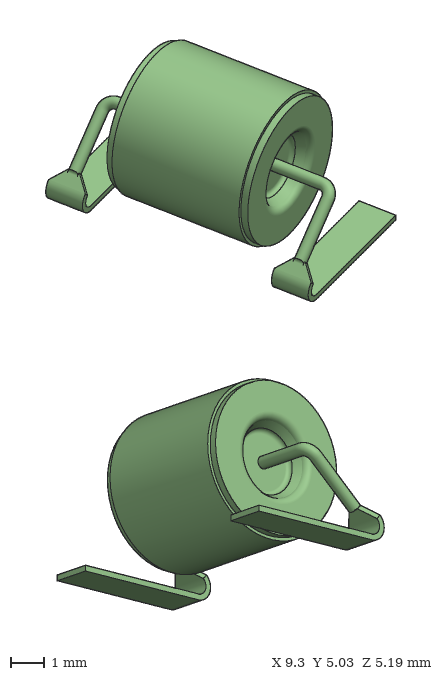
import cadquery as cq
import math

overall_length = 9.3

drum_diameter = 5.0
drum_radius = drum_diameter / 2
end_diameter = 4.8
drum_length = 4.985
drum_half_length = drum_length / 2
end_step_length = 0.24

recess_mouth_radius = 1.43
recess_lip_inner_radius = 1.2
recess_lip_depth = 0.19
recess_wall_bottom_radius = 1.03
recess_floor_radius = 0.89
recess_wall_depth = 0.465
recess_depth = 0.6

wire_diameter = 0.4
wire_radius = wire_diameter / 2
wire_bend_radius = 0.37
wire_leg_length = 2.4
leg_slope = 41.0
slope_cos = math.cos(math.radians(leg_slope))
slope_sin = math.sin(math.radians(leg_slope))

foot_width = 1.3
foot_thickness = 0.19
foot_end_y = 2.53
foot_outer_radius = 0.48
foot_inner_radius = foot_outer_radius - foot_thickness
foot_middle_radius = foot_outer_radius - foot_thickness / 2
foot_top_z = -drum_radius
foot_bottom_z = foot_top_z - foot_thickness
joint_fillet_radius = wire_radius - foot_thickness / 2
lead_x = (overall_length - foot_width) / 2

curl_z = foot_bottom_z + foot_outer_radius
curl_y = (curl_z * slope_cos + foot_middle_radius) / slope_sin
curl_end_distance = -curl_y * slope_cos - curl_z * slope_sin

slope_plane = cq.Plane(origin=(0, 0, 0), xDir=(1, 0, 0), normal=(0, -slope_sin, slope_cos))


def on_slope(distance, offset):
    """(y, z) at a distance down the leg axis, offset upwards at right angles to it."""
    return (
        -distance * slope_cos - offset * slope_sin,
        -distance * slope_sin + offset * slope_cos,
    )


def on_curl(radius, angle):
    """(y, z) on the foot curl, with the angle measured from +Y towards +Z."""
    turn = math.radians(angle)
    return curl_y + radius * math.cos(turn), curl_z + radius * math.sin(turn)


def tangent_arc_radius(width, depth):
    """Radius of an arc that leaves a flat face tangentially and spans a width and a depth."""
    return (width**2 + depth**2) / (2 * depth)


def make_recess():
    """Cutter for the recess in the +X end: rounded lip, sloping wall and rounded floor edge."""
    floor_x = drum_half_length - recess_depth
    lip_radius = tangent_arc_radius(recess_mouth_radius - recess_lip_inner_radius, recess_lip_depth)
    floor_edge_radius = tangent_arc_radius(
        recess_wall_bottom_radius - recess_floor_radius,
        recess_depth - recess_wall_depth,
    )
    profile = (
        cq.Workplane("XY")
        .moveTo(floor_x, 0)
        .lineTo(drum_half_length, 0)
        .lineTo(drum_half_length, recess_mouth_radius)
        .radiusArc((drum_half_length - recess_lip_depth, recess_lip_inner_radius), lip_radius)
        .lineTo(drum_half_length - recess_wall_depth, recess_wall_bottom_radius)
        .radiusArc((floor_x, recess_floor_radius), -floor_edge_radius)
        .close()
    )
    return profile.revolve(360, (0, 0, 0), (1, 0, 0))


def make_drum():
    """Cylinder with a slightly smaller step and a recess at each end."""
    middle_length = drum_length - 2 * end_step_length
    core = cq.Workplane("YZ", origin=(-drum_half_length, 0, 0)).circle(end_diameter / 2).extrude(drum_length)
    middle = cq.Workplane("YZ", origin=(-middle_length / 2, 0, 0)).circle(drum_radius).extrude(middle_length)
    recess = make_recess()
    return core.union(middle).cut(recess).cut(recess.mirror("YZ"))


def make_wire():
    """Wire from the recess floor along X, then bent to slope down towards -Y."""
    recess_floor_x = drum_half_length - recess_depth
    path = (
        cq.Workplane(slope_plane)
        .moveTo(recess_floor_x, 0)
        .lineTo(lead_x - wire_bend_radius, 0)
        .tangentArcPoint((lead_x, -wire_bend_radius), relative=False)
        .lineTo(lead_x, -wire_leg_length)
    )
    return cq.Workplane("YZ", origin=(recess_floor_x, 0, 0)).circle(wire_radius).sweep(path)


def make_foot():
    """Flat strip whose -Y end curls up and tapers to meet the wire leg."""
    half_thickness = foot_thickness / 2
    curl_end_angle = 90 + leg_slope
    curl_middle_angle = (curl_end_angle + 270) / 2
    profile = (
        cq.Workplane("YZ", origin=(lead_x, 0, 0))
        .moveTo(foot_end_y, foot_bottom_z)
        .lineTo(curl_y, foot_bottom_z)
        .threePointArc(
            on_curl(foot_outer_radius, curl_middle_angle),
            on_slope(curl_end_distance, half_thickness),
        )
        .lineTo(*on_slope(wire_leg_length, half_thickness))
        .lineTo(*on_slope(wire_leg_length, -half_thickness))
        .lineTo(*on_slope(curl_end_distance, -half_thickness))
        .threePointArc(on_curl(foot_inner_radius, curl_middle_angle), (curl_y, foot_top_z))
        .lineTo(foot_end_y, foot_top_z)
        .close()
    )
    return profile.extrude(foot_width / 2, both=True)


def make_taper_cutter():
    """Removes both corners of the sloping foot end, leaving it as wide as the wire at the leg."""
    corner = (
        cq.Workplane(slope_plane)
        .moveTo(lead_x + foot_width / 2, -curl_end_distance)
        .lineTo(lead_x + foot_width / 2, -wire_leg_length)
        .lineTo(lead_x + wire_radius, -wire_leg_length)
        .close()
        .extrude(foot_thickness, both=True)
    )
    return corner.union(corner.mirror("YZ", (lead_x, 0, 0)))


def make_joint_fillet():
    """Concave fillet between the end of the wire and the top of the foot, as wide as the wire."""
    foot_surface = foot_thickness / 2
    arc_middle_inset = joint_fillet_radius * (1 - math.sin(math.radians(45)))
    arc_middle = on_slope(wire_leg_length + arc_middle_inset, foot_surface + arc_middle_inset)
    fillet = (
        cq.Workplane("YZ", origin=(lead_x, 0, 0))
        .moveTo(*on_slope(wire_leg_length, foot_surface))
        .lineTo(*on_slope(wire_leg_length, wire_radius))
        .threePointArc(
            arc_middle,
            on_slope(wire_leg_length + joint_fillet_radius, foot_surface),
        )
        .close()
        .extrude(wire_radius, both=True)
    )
    wire_extension = (
        cq.Workplane(slope_plane)
        .transformed(rotate=(90, 0, 0), offset=(lead_x, -wire_leg_length, 0))
        .circle(wire_radius)
        .extrude(joint_fillet_radius)
    )
    return fillet.intersect(wire_extension)


def make_lead():
    """Lead at the +X end: wire, tapered foot and the fillet between them as one solid."""
    tapered_foot = make_foot().cut(make_taper_cutter())
    return tapered_foot.union(make_wire()).union(make_joint_fillet())


drum = make_drum()
right_lead = make_lead()
leads = [right_lead, right_lead.mirror("YZ")]

result = cq.Compound.makeCompound([drum.val()] + [lead.val() for lead in leads])